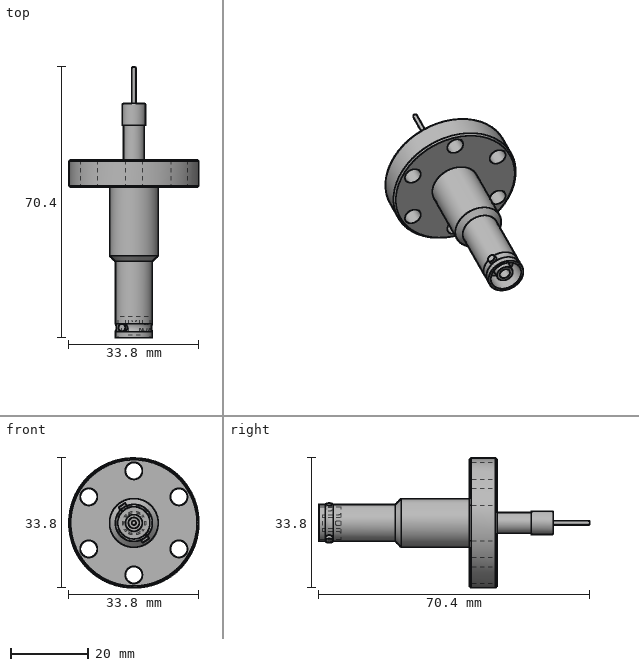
import cadquery as cq
import math


total_length = 70.4
groove_start = 1.6
groove_end = 3.7
sleeve_end = 19.85
body_start = 21.3
flange_front = 39.05
flange_thickness = 7.25
flange_back = flange_front + flange_thickness
collar_start = 55.2
collar_end = 60.9

sleeve_radius = 9.65 / 2
body_radius = 6.3
flange_radius = 16.9
tube_radius = 5.4 / 2
collar_radius = 6.1 / 2
conductor_radius = 0.55
groove_depth = 0.245

flange_chamfer = 0.5
collar_fillet = 0.4
conductor_fillet = 0.4

bolt_count = 6
first_bolt_angle = 90.0
bolt_circle_radius = 13.5
bolt_hole_diameter = 4.35

bore_radius = 8.4 / 2
socket_depth = 5.6
insulator_recess = 0.85
insulator_radius = 2.2
socket_fillet = 0.5
insulator_hole_radius = 1.4
contact_recess = 4.2

lug_diameter = 2.05
lug_reach = 5.55
lug_angle = 124.0
lug_root = (bore_radius + sleeve_radius - groove_depth) / 2


def cylinder(radius, start, end):
    """Solid cylinder on the Y axis from start to end."""
    return cq.Workplane("XZ", origin=(0, start, 0)).circle(radius).extrude(start - end)


def make_shell():
    """Stepped outside of the connector, with its rounded bayonet groove."""
    groove_middle = (groove_start + groove_end) / 2
    return (
        cq.Workplane("XY")
        .lineTo(sleeve_radius, 0)
        .lineTo(sleeve_radius, groove_start)
        .threePointArc((sleeve_radius - groove_depth, groove_middle), (sleeve_radius, groove_end))
        .lineTo(sleeve_radius, sleeve_end)
        .lineTo(body_radius, body_start)
        .lineTo(body_radius, flange_front)
        .lineTo(0, flange_front)
        .close()
        .revolve(360, (0, 0, 0), (0, 1, 0))
    )


def make_flange():
    """Round flange with chamfered rims and a circle of bolt holes."""
    flange = cylinder(flange_radius, flange_front, flange_back).edges().chamfer(flange_chamfer)
    holes = (
        cq.Workplane("XZ", origin=(0, flange_front, 0))
        .polarArray(bolt_circle_radius, first_bolt_angle, 360, bolt_count)
        .circle(bolt_hole_diameter / 2)
        .extrude(-flange_thickness)
    )
    return flange.cut(holes)


def make_feedthrough():
    """Tube and collar behind the flange, with the conductor sticking out of them."""
    tube = cylinder(tube_radius, flange_back, collar_start)
    collar = cylinder(collar_radius, collar_start, collar_end).faces(">Y").edges().fillet(collar_fillet)
    conductor = cylinder(conductor_radius, collar_end, total_length)
    conductor = conductor.faces(">Y").edges().fillet(conductor_fillet)
    return tube.union(collar).union(conductor)


def make_socket():
    """Space inside the mouth, around the hollow insulator and the round-tipped centre contact."""
    ring = cylinder(bore_radius, 0, socket_depth).cut(cylinder(insulator_radius, insulator_recess, socket_depth))
    insulator_foot = cq.selectors.RadiusNthSelector(0)
    ring = ring.faces(">Y").edges(insulator_foot).fillet(socket_fillet)
    hole = cylinder(insulator_hole_radius, insulator_recess, socket_depth)
    contact = cylinder(conductor_radius, contact_recess, socket_depth)
    contact = contact.faces("<Y").edges().fillet(conductor_fillet)
    return ring.union(hole).cut(contact)


def make_lug(angle):
    """Round lug standing out of the groove at the given angle from X towards Z."""
    direction = cq.Vector(math.cos(math.radians(angle)), 0, math.sin(math.radians(angle)))
    root = direction * lug_root + cq.Vector(0, (groove_start + groove_end) / 2, 0)
    lug_plane = cq.Plane(origin=root, xDir=(0, 1, 0), normal=direction)
    return cq.Workplane(lug_plane).circle(lug_diameter / 2).extrude(lug_reach - lug_root)


result = make_shell().union(make_flange()).union(make_feedthrough())
for angle in (lug_angle, lug_angle + 180):
    result = result.union(make_lug(angle))
result = result.cut(make_socket())